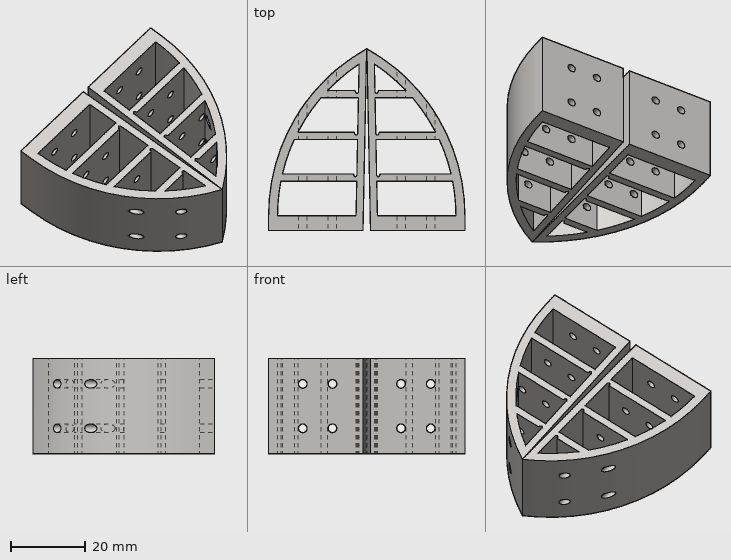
import cadquery as cq
import math

WIDTH = 53.0
LENGTH = 49.0
HEIGHT = 25.7
half_width = WIDTH / 2

BASE_WALL = 4.05
SHELL_WALL = 2.5
SPINE_WALL = 2.0
RIB_THICKNESS = 2.0
BAY_COUNT = 4
BASE_GAP = 1.95

bay_pitch = (LENGTH - BASE_WALL) / BAY_COUNT
bay_length = bay_pitch - RIB_THICKNESS

arc_rise = LENGTH - BASE_WALL
shell_radius = (arc_rise**2 + half_width**2) / (2 * half_width)
arc_center_x = half_width - shell_radius

HOLE_DIAMETER = 2.3
HOLE_SPACING_X = 8.0
HOLE_SPACING_Z = 12.0
HOLE_GROUP_X = 13.25

NOTCH_WIDTH = 0.8
NOTCH_DEPTH = 0.75
NOTCH_LIP_RADIUS = 0.3
notch_radius = NOTCH_WIDTH / 2


def gap_face_x(y):
    """X of the slanted face of the right half that borders the central gap."""
    return BASE_GAP / 2 * (1 - y / LENGTH)


def spine_inner_x(y):
    """X of the inner face of the spine wall."""
    return gap_face_x(y) + SPINE_WALL


def make_blank():
    """Solid outline of the right half, standing on Z = 0."""
    arc_mid_angle = math.asin(arc_rise / shell_radius) / 2
    arc_mid = (
        arc_center_x + shell_radius * math.cos(arc_mid_angle),
        BASE_WALL + shell_radius * math.sin(arc_mid_angle),
    )
    return (
        cq.Workplane("XY")
        .moveTo(gap_face_x(0), 0)
        .lineTo(half_width, 0)
        .lineTo(half_width, BASE_WALL)
        .threePointArc(arc_mid, (0, LENGTH))
        .close()
        .extrude(HEIGHT)
    )


def make_bay(start_y, end_y):
    """Through pocket between two ribs, bounded by the spine wall and the curved shell."""
    strip = (
        cq.Workplane("XY")
        .polyline([
            (spine_inner_x(start_y), start_y),
            (half_width, start_y),
            (half_width, end_y),
            (spine_inner_x(end_y), end_y),
        ])
        .close()
        .extrude(HEIGHT)
    )
    shell_inside = (
        cq.Workplane("XY")
        .center(arc_center_x, BASE_WALL)
        .circle(shell_radius - SHELL_WALL)
        .extrude(HEIGHT)
    )
    return strip.intersect(shell_inside)


def make_notch(rib_top_y):
    """Relief notch cut down into a rib beside the spine wall, with a rounded lip."""
    near_x = spine_inner_x(rib_top_y)
    far_x = near_x + NOTCH_WIDTH
    round_y = rib_top_y - NOTCH_DEPTH + notch_radius
    lip_sagitta = NOTCH_LIP_RADIUS * (1 - math.sqrt(0.5))
    return (
        cq.Workplane("XY")
        .moveTo(near_x, rib_top_y)
        .lineTo(near_x, round_y)
        .threePointArc((near_x + notch_radius, rib_top_y - NOTCH_DEPTH), (far_x, round_y))
        .lineTo(far_x, rib_top_y - NOTCH_LIP_RADIUS)
        .threePointArc(
            (far_x + lip_sagitta, rib_top_y - lip_sagitta),
            (far_x + NOTCH_LIP_RADIUS, rib_top_y),
        )
        .close()
        .extrude(HEIGHT)
    )


def make_bolt_holes():
    """Four bolt holes through the base, the ribs and the shell."""
    return (
        cq.Workplane("XZ")
        .center(HOLE_GROUP_X, HEIGHT / 2)
        .rarray(HOLE_SPACING_X, HOLE_SPACING_Z, 2, 2)
        .circle(HOLE_DIAMETER / 2)
        .extrude(-LENGTH)
    )


def make_right_half():
    """One half on the +X side: ribbed shell with notches and bolt holes."""
    half = make_blank()
    for bay_index in range(BAY_COUNT):
        start_y = BASE_WALL + bay_index * bay_pitch
        is_tip_bay = bay_index == BAY_COUNT - 1
        end_y = LENGTH if is_tip_bay else start_y + bay_length
        half = half.cut(make_bay(start_y, end_y))
        if bay_index > 0:
            half = half.cut(make_notch(start_y))
    return half.cut(make_bolt_holes())


def make_half(side):
    """One half on the given side of the centre plane: +1 for +X, -1 for -X."""
    half = make_right_half()
    return half if side > 0 else half.mirror("YZ")


halves = [make_half(side) for side in (-1, 1)]

result = cq.Compound.makeCompound([half.val() for half in halves])